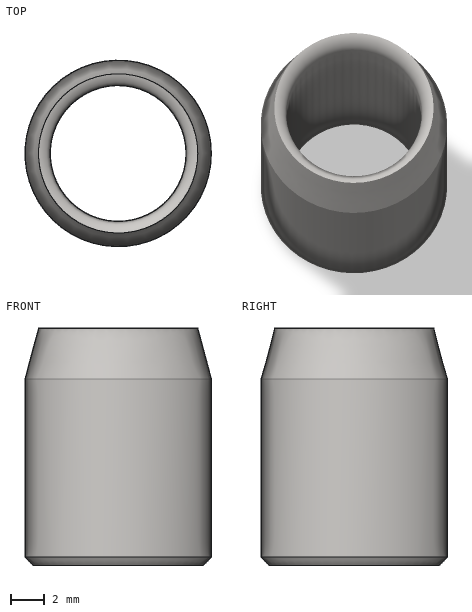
import cadquery as cq
import math

OUTER_DIAMETER = 11.0
BORE_DIAMETER = 8.0
LENGTH = 14.0
TAPER_LENGTH = 3.0
TAPER_HALF_ANGLE = 15.0
BOTTOM_CHAMFER = 0.5
MOUTH_ROUNDING = 1.0

outer_radius = OUTER_DIAMETER / 2
bore_radius = BORE_DIAMETER / 2
shoulder_z = LENGTH - TAPER_LENGTH
rim_radius = outer_radius - TAPER_LENGTH * math.tan(math.radians(TAPER_HALF_ANGLE))

arc_center_radius = bore_radius + MOUTH_ROUNDING
arc_sweep = math.acos((arc_center_radius - rim_radius) / MOUTH_ROUNDING)
arc_start_z = LENGTH - MOUTH_ROUNDING * math.sin(arc_sweep)


def mouth_arc_point(angle):
    """Point on the mouth arc, with the angle measured from the bore end of the arc."""
    return (
        arc_center_radius - MOUTH_ROUNDING * math.cos(angle),
        arc_start_z + MOUTH_ROUNDING * math.sin(angle),
    )


def sleeve_section():
    """Half section of the sleeve wall: local X is the radius, local Y is the height."""
    return (
        cq.Workplane("XZ")
        .moveTo(bore_radius, 0)
        .lineTo(outer_radius - BOTTOM_CHAMFER, 0)
        .lineTo(outer_radius, BOTTOM_CHAMFER)
        .lineTo(outer_radius, shoulder_z)
        .lineTo(rim_radius, LENGTH)
        .threePointArc(mouth_arc_point(arc_sweep / 2), (bore_radius, arc_start_z))
        .close()
    )


result = sleeve_section().revolve(360, (0, 0, 0), (0, 1, 0))